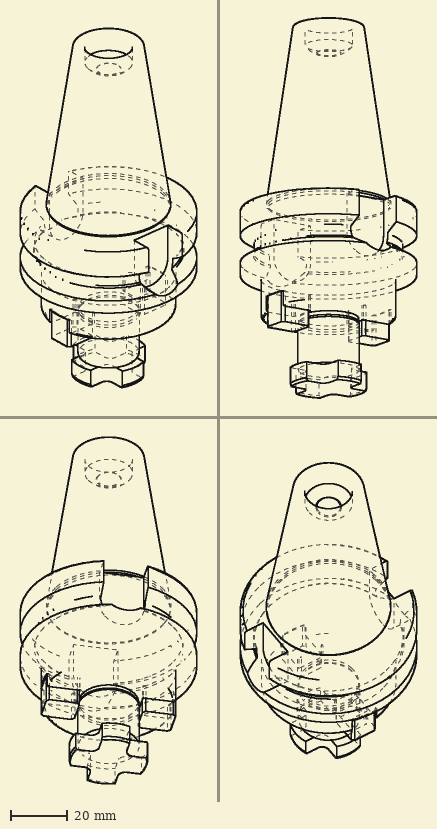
import cadquery as cq
import math


gauge_diameter = 44.45
taper_rate = 7 / 24
taper_length = 65.4
taper_end_round = 0.9
taper_end_radius = (gauge_diameter - taper_rate * taper_length) / 2

relief_radius = 21.9
relief_ramp = 0.7
relief_root_fillet = 0.35

flange_radius = 63 / 2
flange_top = -2.0
flange_bottom = -27.0
flange_round = 1.0
groove_radius = 53 / 2
groove_center = -16.65
groove_floor_half_width = 2.05
groove_wall_angle = 30
groove_root_fillet = 0.8
groove_mouth_half_width = (
    groove_floor_half_width
    + (flange_radius - groove_radius) * math.tan(math.radians(groove_wall_angle))
)

drive_slot_width = 16.1
drive_slot_floor = 22.6
drive_slot_bottom = -23.6

collar_radius = 24.0
collar_bottom = -42.0
collar_root_fillet = 1.2
collar_edge_round = 1.0

spigot_radius = 11.0
spigot_bottom = -61.0
spigot_end_chamfer = 0.8
spigot_end_inset = 0.2
undercut_radius = 10.7
undercut_end = -43.4
undercut_ramp = 0.8

key_width = 10.3
key_top = -36.4
key_bottom = -47.7
key_inner = 11.5
key_outer = 23.55
key_chamfer = 1.0

head_radius = 14.0
head_bottom = -68.0
head_arm_width = 10.1
head_corner_fillet = 2.8
head_rim_height = 1.1
head_rim_inset = 0.4

bore_mouth_round = 1.05
bore_radius = 8.5
bore_depth = 7.0
bore_step_radius = 7.1
bore_step_depth = 8.4
screw_tip_radius = 4.2
screw_tip_chamfer = 0.3
drill_point_angle = 30
bore_floor_radius = screw_tip_radius + screw_tip_chamfer
bore_floor_depth = (
    bore_step_depth
    + (bore_step_radius - bore_floor_radius) * math.tan(math.radians(drill_point_angle))
)


def rounded_corner(sketch, before, corner, after, radius):
    """Draw to `corner`, rounded with `radius`, on the way from point `before` to point `after`."""
    vertex = cq.Vector(*corner)
    back = (cq.Vector(*before) - vertex).normalized()
    ahead = (cq.Vector(*after) - vertex).normalized()
    half_angle = back.getAngle(ahead) / 2
    tangent_length = radius / math.tan(half_angle)
    arc_depth = radius / math.sin(half_angle) - radius
    start = vertex + back * tangent_length
    middle = vertex + (back + ahead).normalized() * arc_depth
    end = vertex + ahead * tangent_length
    return sketch.lineTo(start.x, start.y).threePointArc((middle.x, middle.y), (end.x, end.y))


def revolve_profile(corners):
    """Revolve a closed outline of (radius, z, corner round) about Z; a round of 0 is a sharp corner."""
    points = [(radius, z) for radius, z, _ in corners]
    sketch = cq.Workplane("XZ").moveTo(*points[0])
    for index in range(1, len(corners)):
        corner_round = corners[index][2]
        if corner_round > 0:
            sketch = rounded_corner(
                sketch, points[index - 1], points[index], points[index + 1], corner_round
            )
        else:
            sketch = sketch.lineTo(*points[index])
    return sketch.close().revolve(360, (0, 0, 0), (0, 1, 0))


def make_body():
    """Revolved taper, flange, collar and spigot."""
    return revolve_profile([
        (0, taper_length, 0),
        (taper_end_radius, taper_length, taper_end_round),
        (gauge_diameter / 2, 0, 0),
        (relief_radius, -relief_ramp, 0),
        (relief_radius, flange_top, relief_root_fillet),
        (flange_radius, flange_top, flange_round),
        (flange_radius, groove_center + groove_mouth_half_width, 0),
        (groove_radius, groove_center + groove_floor_half_width, groove_root_fillet),
        (groove_radius, groove_center - groove_floor_half_width, groove_root_fillet),
        (flange_radius, groove_center - groove_mouth_half_width, 0),
        (flange_radius, flange_bottom, flange_round),
        (collar_radius, flange_bottom, collar_root_fillet),
        (collar_radius, collar_bottom, collar_edge_round),
        (undercut_radius, collar_bottom, 0),
        (undercut_radius, undercut_end, 0),
        (spigot_radius, undercut_end - undercut_ramp, 0),
        (spigot_radius, spigot_bottom + spigot_end_chamfer, 0),
        (spigot_radius - spigot_end_inset, spigot_bottom, 0),
        (0, spigot_bottom, 0),
    ])


def make_bore():
    """Stepped blind bore cutter with a flared, rounded mouth and the screw tip left at its floor."""
    mouth_radius = bore_radius + bore_mouth_round
    mouth_bottom = taper_length - bore_mouth_round
    arc_inset = bore_mouth_round * (1 - math.sqrt(0.5))
    tip_depth = bore_floor_depth - screw_tip_chamfer
    return (
        cq.Workplane("XZ")
        .moveTo(0, taper_length)
        .lineTo(mouth_radius, taper_length)
        .threePointArc((bore_radius + arc_inset, taper_length - arc_inset), (bore_radius, mouth_bottom))
        .lineTo(bore_radius, taper_length - bore_depth)
        .lineTo(bore_step_radius, taper_length - bore_step_depth)
        .lineTo(bore_floor_radius, taper_length - bore_floor_depth)
        .lineTo(screw_tip_radius, taper_length - tip_depth)
        .lineTo(0, taper_length - tip_depth)
        .close()
        .revolve(360, (0, 0, 0), (0, 1, 0))
    )


def make_drive_slot(side):
    """Round-ended slot cutter on the +X (side = 1) or -X (side = -1) flank of the flange."""
    half_width = drive_slot_width / 2
    arc_center = drive_slot_bottom + half_width
    return (
        cq.Workplane("YZ", origin=(side * drive_slot_floor, 0, 0))
        .moveTo(-half_width, flange_top)
        .lineTo(-half_width, arc_center)
        .threePointArc((0, drive_slot_bottom), (half_width, arc_center))
        .lineTo(half_width, flange_top)
        .close()
        .extrude(side * flange_radius)
    )


def make_key_block(side, outer):
    """Rectangular block from the inner key face out to `outer` on the +Y or -Y side."""
    return (
        cq.Workplane("XY", origin=(0, side * (key_inner + outer) / 2, key_bottom))
        .rect(key_width, outer - key_inner)
        .extrude(key_top - key_bottom)
    )


def make_head():
    """Cross-shaped screw head with round arm ends and a bevelled lower rim."""
    height = spigot_bottom - head_bottom
    arm = cq.Workplane("XY", origin=(0, 0, head_bottom)).rect(2 * head_radius, head_arm_width).extrude(height)
    cross = arm.union(arm.rotate((0, 0, 0), (0, 0, 1), 90))
    corner_zone = cq.selectors.BoxSelector(
        (-head_arm_width, -head_arm_width, head_bottom),
        (head_arm_width, head_arm_width, spigot_bottom),
    )
    cross = cross.edges("|Z").edges(corner_zone).fillet(head_corner_fillet)
    envelope = revolve_profile([
        (0, spigot_bottom, 0),
        (head_radius, spigot_bottom, 0),
        (head_radius, head_bottom + head_rim_height, 0),
        (head_radius - head_rim_inset, head_bottom, 0),
        (0, head_bottom, 0),
    ])
    return cross.intersect(envelope)


result = make_body().cut(make_bore()).union(make_head())
for side in (1, -1):
    result = result.cut(make_drive_slot(side))
    result = result.cut(make_key_block(side, flange_radius))
    result = result.union(make_key_block(side, key_outer).edges("|Z").chamfer(key_chamfer))